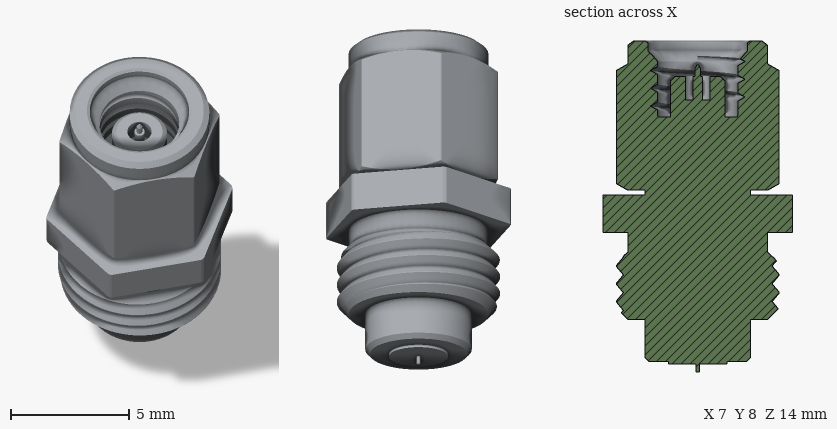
import cadquery as cq
import math

DIELECTRIC_BOTTOM = 0.34
SPIGOT_BOTTOM = 0.45
THREAD_BOTTOM = 2.22
THREAD_TOP = 5.1
FLANGE_BOTTOM = 5.9
FLANGE_TOP = 7.5
NUT_BOTTOM = 7.69
NUT_TOP = 13.02
COLLAR_TOP = 14.0

LOWER_PIN_RADIUS = 0.075
DIELECTRIC_RADIUS = 1.25
SPIGOT_RADIUS = 2.25
SPIGOT_CHAMFER = 0.2
SHOULDER_RADIUS = 2.95

PITCH = 0.75
THREAD_DEPTH = 0.3

MAJOR_RADIUS = 3.45
OUTER_CREST_FLAT = 0.03
OUTER_GROOVE_LEAD_IN = 0.54
OUTER_GROOVE_START = THREAD_BOTTOM - OUTER_GROOVE_LEAD_IN
OUTER_GROOVE_TURNS = 5

FLANGE_FLATS = 7.0
FLANGE_CORNERS = 8.0
NUT_FLATS = 6.0
NUT_CORNERS = 6.9
NUT_CHAMFER_RADIUS = 2.97
NUT_CHAMFER_ANGLE = math.radians(30)

NECK_RADIUS = 2.23
COLLAR_RADIUS = 2.95
COLLAR_CHAMFER_WIDTH = 0.235
COLLAR_CHAMFER_HEIGHT = 0.18

MOUTH_RADIUS = 2.1
MOUTH_CHAMFER_WIDTH = 0.12
MOUTH_CHAMFER_HEIGHT = 0.08
MOUTH_BOTTOM = 13.58
SOCKET_RADIUS = 1.68
SOCKET_CONE_BOTTOM = 13.12
SOCKET_FLOOR = 10.8
INNER_GROOVE_WIDTH = 0.34
INNER_GROOVE_TURNS = 3
INNER_GROOVE_END = 13.31

BOSS_RADIUS = 1.17
BOSS_TOP = 12.5
BOSS_CHAMFER = 0.2
BORE_RADIUS = 0.51
BORE_DEPTH = 1.0
PIN_BASE_RADIUS = 0.22
PIN_RADIUS = 0.12
PIN_TIP_RADIUS = 0.04
PIN_TIP_HEIGHT = 0.13
PIN_TOP = 12.98

OVERLAP = 0.1


def revolve_profile(points):
    """Solid of revolution about Z from (radius, height) points."""
    return cq.Workplane("XZ").polyline(points).close().revolve(360, (0, 0, 0), (0, 1, 0))


def cylinder(radius, bottom, top):
    return cq.Workplane("XY").workplane(offset=bottom).circle(radius).extrude(top - bottom)


def hexagon(flats, corners, bottom, top):
    """Hexagonal prism with flats facing +X and -X and its corners trimmed to a circle."""
    corner_radius = flats / 2 / math.cos(math.pi / 6)
    prism = (
        cq.Workplane("XY")
        .workplane(offset=bottom)
        .transformed(rotate=(0, 0, 90))
        .polygon(6, 2 * corner_radius)
        .extrude(top - bottom)
    )
    return prism.intersect(cylinder(corners / 2, bottom, top))


def helical_groove(section, start, turns):
    """Right-handed sweep of a (radius, height) section; the helix starts on the +X side."""
    path = cq.Wire.makeHelix(PITCH, PITCH * turns, section[0][0]).translate(cq.Vector(0, 0, start))
    profile = cq.Workplane("XZ").polyline([(r, start + h) for r, h in section]).close()
    return profile.sweep(cq.Workplane(obj=path), isFrenet=True)


def make_threaded_end():
    chamfer = MAJOR_RADIUS - SHOULDER_RADIUS
    blank = revolve_profile([
        (0, THREAD_BOTTOM),
        (SHOULDER_RADIUS, THREAD_BOTTOM),
        (MAJOR_RADIUS, THREAD_BOTTOM + chamfer),
        (MAJOR_RADIUS, THREAD_TOP - chamfer),
        (SHOULDER_RADIUS, THREAD_TOP),
        (SHOULDER_RADIUS, FLANGE_BOTTOM),
        (0, FLANGE_BOTTOM),
    ])
    half_width = (PITCH - OUTER_CREST_FLAT) / 2
    section = [
        (MAJOR_RADIUS - THREAD_DEPTH, 0),
        (MAJOR_RADIUS, half_width),
        (MAJOR_RADIUS + OVERLAP, half_width),
        (MAJOR_RADIUS + OVERLAP, -half_width),
        (MAJOR_RADIUS, -half_width),
    ]
    return blank.cut(helical_groove(section, OUTER_GROOVE_START, OUTER_GROOVE_TURNS))


def make_spigot():
    spigot = cylinder(SPIGOT_RADIUS, SPIGOT_BOTTOM, THREAD_BOTTOM)
    spigot = spigot.faces("<Z").chamfer(SPIGOT_CHAMFER)
    dielectric = cylinder(DIELECTRIC_RADIUS, DIELECTRIC_BOTTOM, SPIGOT_BOTTOM)
    pin = cylinder(LOWER_PIN_RADIUS, 0, DIELECTRIC_BOTTOM)
    return spigot.union(dielectric).union(pin)


def make_nut():
    """Hex nut with conical chamfers at both ends and a round collar on top."""
    envelope_radius = NUT_CORNERS / 2
    chamfer_drop = (envelope_radius - NUT_CHAMFER_RADIUS) * math.tan(NUT_CHAMFER_ANGLE)
    envelope = revolve_profile([
        (0, NUT_BOTTOM),
        (NUT_CHAMFER_RADIUS, NUT_BOTTOM),
        (envelope_radius, NUT_BOTTOM + chamfer_drop),
        (envelope_radius, NUT_TOP - chamfer_drop),
        (NUT_CHAMFER_RADIUS, NUT_TOP),
        (0, NUT_TOP),
    ])
    collar = revolve_profile([
        (0, NUT_TOP),
        (COLLAR_RADIUS, NUT_TOP),
        (COLLAR_RADIUS, COLLAR_TOP - COLLAR_CHAMFER_HEIGHT),
        (COLLAR_RADIUS - COLLAR_CHAMFER_WIDTH, COLLAR_TOP),
        (0, COLLAR_TOP),
    ])
    return hexagon(NUT_FLATS, NUT_CORNERS, NUT_BOTTOM, NUT_TOP).intersect(envelope).union(collar)


def cut_socket(nut):
    """Open the stepped, internally threaded socket from the top of the nut."""
    bore = cylinder(SOCKET_RADIUS, SOCKET_FLOOR, COLLAR_TOP)
    mouth = revolve_profile([
        (0, SOCKET_CONE_BOTTOM),
        (SOCKET_RADIUS, SOCKET_CONE_BOTTOM),
        (MOUTH_RADIUS, MOUTH_BOTTOM),
        (MOUTH_RADIUS, COLLAR_TOP - MOUTH_CHAMFER_HEIGHT),
        (MOUTH_RADIUS + MOUTH_CHAMFER_WIDTH, COLLAR_TOP),
        (0, COLLAR_TOP),
    ])
    mouth_depth = THREAD_DEPTH + OVERLAP
    half_width = INNER_GROOVE_WIDTH / 2 * mouth_depth / THREAD_DEPTH
    section = [
        (SOCKET_RADIUS + THREAD_DEPTH, 0),
        (SOCKET_RADIUS - OVERLAP, half_width),
        (SOCKET_RADIUS - OVERLAP, -half_width),
    ]
    groove_start = INNER_GROOVE_END - PITCH * INNER_GROOVE_TURNS
    groove = helical_groove(section, groove_start, INNER_GROOVE_TURNS)
    return nut.cut(bore).cut(groove).cut(mouth)


def make_contact():
    """Chamfered boss on the socket floor, bored around a stepped and pointed pin."""
    boss = cylinder(BOSS_RADIUS, SOCKET_FLOOR, BOSS_TOP).faces(">Z").chamfer(BOSS_CHAMFER)
    bore_floor = BOSS_TOP - BORE_DEPTH
    boss = boss.cut(cylinder(BORE_RADIUS, bore_floor, BOSS_TOP))
    pin = revolve_profile([
        (0, bore_floor),
        (PIN_BASE_RADIUS, bore_floor),
        (PIN_BASE_RADIUS, BOSS_TOP),
        (PIN_RADIUS, BOSS_TOP),
        (PIN_RADIUS, PIN_TOP - PIN_TIP_HEIGHT),
        (PIN_TIP_RADIUS, PIN_TOP),
        (0, PIN_TOP),
    ])
    return boss.union(pin)


flange = hexagon(FLANGE_FLATS, FLANGE_CORNERS, FLANGE_BOTTOM, FLANGE_TOP)
neck = cylinder(NECK_RADIUS, FLANGE_TOP, NUT_BOTTOM)
upper_end = cut_socket(make_nut()).union(make_contact())
lower_end = make_spigot().union(make_threaded_end())
result = lower_end.union(flange).union(neck).union(upper_end)